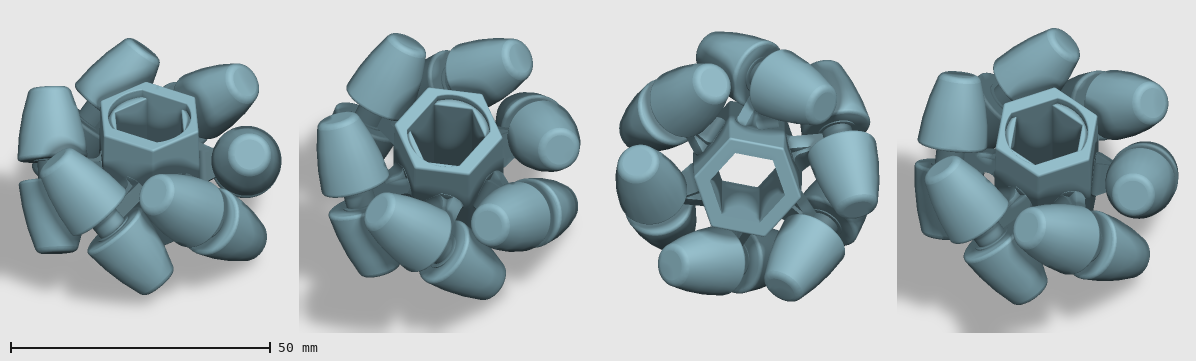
import cadquery as cq
import math

roller_count = 6
roller_tilt = 45.0
axis_radius = 18.6

roller_radius = 6.85
barrel_arc_radius = 44.05
roller_inner = 2.0
roller_outer = 16.0
inner_fillet = 0.6
outer_fillet = 1.35

axle_radius = 2.95
washer_radius = 3.7
arm_half_width = 1.7
arm_foot_radius = 4.3
arm_tip_half_width = 1.15
arm_step_height = 2.4
arm_step_wall = 0.95
arm_root_fillet = 1.4

hub_height = 25.25
hub_half_flats = 9.35
hub_draft = 1.0
hub_corner_fillet = 0.6
hub_rim_fillet = 0.45

bore_half_flats = 6.4
seat_radius = 7.95
seat_depth = 1.8
bore_rim_fillet = 0.25

seat_floor = hub_height / 2 - seat_depth
hexagon_ratio = 2 / math.sqrt(3)


def make_hub_half():
    half = (
        cq.Workplane("XY")
        .polygon(6, 2 * hub_half_flats * hexagon_ratio)
        .extrude(hub_height / 2, taper=hub_draft)
    )
    half = half.edges("not #Z").fillet(hub_corner_fillet)
    return half.faces(">Z").edges().fillet(hub_rim_fillet)


def make_bore():
    """Through hexagon with a flat-sided round seat at the top."""
    bore = (
        cq.Workplane("XY", origin=(0, 0, -hub_height / 2))
        .polygon(6, 2 * bore_half_flats * hexagon_ratio)
        .extrude(hub_height)
    )
    seat = cq.Workplane("XY", origin=(0, 0, seat_floor)).circle(seat_radius).extrude(seat_depth)
    flats = cq.Workplane("XY").box(2 * seat_radius, 2 * bore_half_flats, hub_height)
    return bore.union(seat.intersect(flats))


def make_hub():
    upper = make_hub_half()
    hub = upper.union(upper.mirror("XY")).cut(make_bore())

    floor_level = cq.selectors.BoxSelector(
        (-seat_radius, -seat_radius, seat_floor - bore_rim_fillet),
        (seat_radius, seat_radius, seat_floor + bore_rim_fillet),
    )
    floor_lines = hub.edges(floor_level).edges("%LINE").edges("not(|X or |Z)")
    hub = floor_lines.fillet(bore_rim_fillet)

    top_rim = hub.faces(">Z").val().innerWires()[0]
    return hub.newObject(top_rim.Edges()).fillet(bore_rim_fillet)


def make_roller_half():
    """Half barrel around the X axis, on its +X side."""
    def barrel(x):
        return roller_radius - barrel_arc_radius + math.sqrt(barrel_arc_radius**2 - x**2)

    middle = (roller_inner + roller_outer) / 2
    half = (
        cq.Workplane("XY")
        .moveTo(roller_inner, 0)
        .lineTo(roller_inner, barrel(roller_inner))
        .threePointArc((middle, barrel(middle)), (roller_outer, barrel(roller_outer)))
        .lineTo(roller_outer, 0)
        .close()
        .revolve(360, (0, 0, 0), (1, 0, 0))
    )
    half = half.faces("<X").edges().fillet(inner_fillet)
    return half.faces(">X").edges().fillet(outer_fillet)


def make_rollers():
    """Both roller halves with their washers, around the X axis."""
    half = make_roller_half()
    washer_plane = cq.Workplane("YZ", origin=(arm_half_width, 0, 0))
    washer = washer_plane.circle(washer_radius).extrude(roller_inner - arm_half_width)
    side = half.union(washer)
    return side.union(side.mirror("YZ"))


def make_arm():
    """Arm reaching from the hub (at +Y) to the axle, which lies on the X axis."""
    hub_face = axis_radius - hub_half_flats
    root = axis_radius - (hub_half_flats + bore_half_flats) / 2
    tip = math.sqrt(axle_radius**2 - arm_tip_half_width**2)
    spread = arm_half_width + arm_root_fillet
    bend = arm_root_fillet * (1 - math.sqrt(0.5))

    front = (
        cq.Workplane("XY", origin=(0, 0, -arm_foot_radius))
        .moveTo(-arm_half_width, 0)
        .lineTo(arm_half_width, 0)
        .lineTo(arm_half_width, hub_face - arm_root_fillet)
        .threePointArc((arm_half_width + bend, hub_face - bend), (spread, hub_face))
        .lineTo(spread, root)
        .lineTo(-spread, root)
        .lineTo(-spread, hub_face)
        .threePointArc((-arm_half_width - bend, hub_face - bend), (-arm_half_width, hub_face - arm_root_fillet))
        .close()
        .extrude(2 * arm_foot_radius)
    )
    side = (
        cq.Workplane("YZ", origin=(-spread, 0, 0))
        .polyline([
            (tip, -arm_tip_half_width),
            (hub_face, -arm_foot_radius),
            (root, -arm_foot_radius),
            (root, arm_foot_radius),
            (hub_face, arm_foot_radius),
            (tip, arm_tip_half_width),
        ])
        .close()
        .extrude(2 * spread)
    )
    outline = cq.Workplane("XZ").circle(arm_foot_radius).extrude(-root)
    axle = cq.Workplane("YZ", origin=(-arm_half_width, 0, 0)).circle(axle_radius).extrude(2 * arm_half_width)
    web = front.intersect(side).intersect(outline)

    rebate = cq.Workplane("XY").box(arm_foot_radius, hub_face, arm_foot_radius, centered=False)
    rebate = rebate.translate((arm_step_wall, 0, -arm_step_height - arm_foot_radius))
    web = web.cut(rebate).cut(rebate.rotate((0, 0, 0), (0, 1, 0), 180))
    return web.union(axle)


roller_arm = (
    make_arm()
    .union(make_rollers())
    .rotate((0, 0, 0), (0, 1, 0), roller_tilt)
    .translate((0, -axis_radius, 0))
)

result = make_hub()
for index in range(roller_count):
    result = result.union(roller_arm.rotate((0, 0, 0), (0, 0, 1), index * 360 / roller_count))